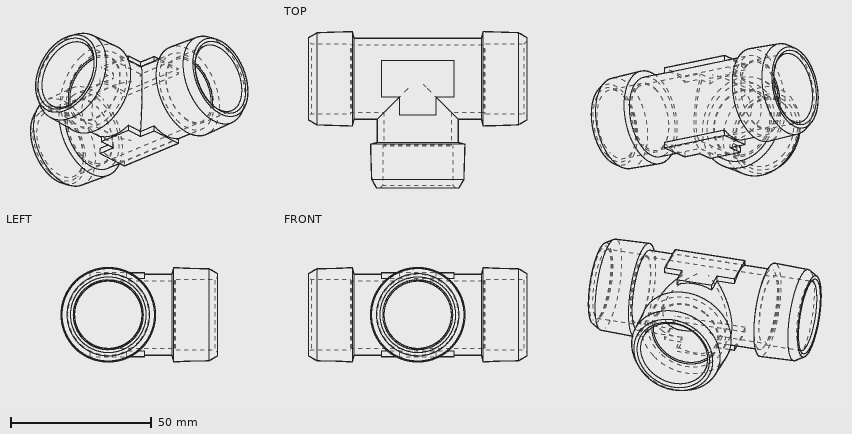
import cadquery as cq
import math

end_distance = 39.0

pipe_radius = 29.0 / 2
bore_radius = 24.0 / 2

collar_radius = 33.79 / 2
collar_length = 16.3
collar_taper = 1 / 16
rim_angle = 15.0
lead_length = 3.1
lead_angle = 30.0

socket_radius = 25.0 / 2
socket_depth = 15.0
floor_angle = 30.0
mouth_radius = 27.0 / 2
mouth_depth = 1.0

pad_height = 15.0
pad_width = 13.0
pad_span = 2 * pad_width


def turn(outline):
    """Revolve an (axial, radial) outline about the X axis."""
    return cq.Workplane("XY").polyline(outline).close().revolve(360, (0, 0, 0), (1, 0, 0))


def arm_body():
    """Solid pipe with its collar, from the tee centre out along +X."""
    shoulder_start = end_distance - collar_length
    rim = shoulder_start + (collar_radius - pipe_radius) * math.tan(math.radians(rim_angle))
    lead_start = end_distance - lead_length
    lead_radius = collar_radius - (lead_start - rim) * collar_taper / 2
    face_radius = lead_radius - lead_length * math.tan(math.radians(lead_angle))
    return turn([
        (0, 0),
        (0, pipe_radius),
        (shoulder_start, pipe_radius),
        (rim, collar_radius),
        (lead_start, lead_radius),
        (end_distance, face_radius),
        (end_distance, 0),
    ])


def arm_cavity():
    """Bore, socket and chamfered mouth, from the tee centre out along +X."""
    socket_floor = end_distance - socket_depth
    floor_length = (socket_radius - bore_radius) * math.tan(math.radians(floor_angle))
    mouth_start = end_distance - mouth_depth
    return turn([
        (0, 0),
        (0, bore_radius),
        (socket_floor - floor_length, bore_radius),
        (socket_floor, socket_radius),
        (mouth_start, socket_radius),
        (end_distance, mouth_radius),
        (end_distance, 0),
    ])


def tee(arm):
    """Join three copies of an arm: the two run ends and the -Y branch."""
    joined = arm
    for angle in (180, -90):
        joined = joined.union(arm.rotate((0, 0, 0), (0, 0, 1), angle))
    return joined


def pads():
    """T-shaped block whose top and bottom faces are the two pads."""
    bar = cq.Workplane("XY").box(pad_span, pad_width, 2 * pad_height)
    stem = cq.Workplane("XY").box(pad_width, pad_width, 2 * pad_height)
    return bar.union(stem.translate((0, -pad_width / 2, 0)))


result = tee(arm_body()).union(pads()).cut(tee(arm_cavity()))